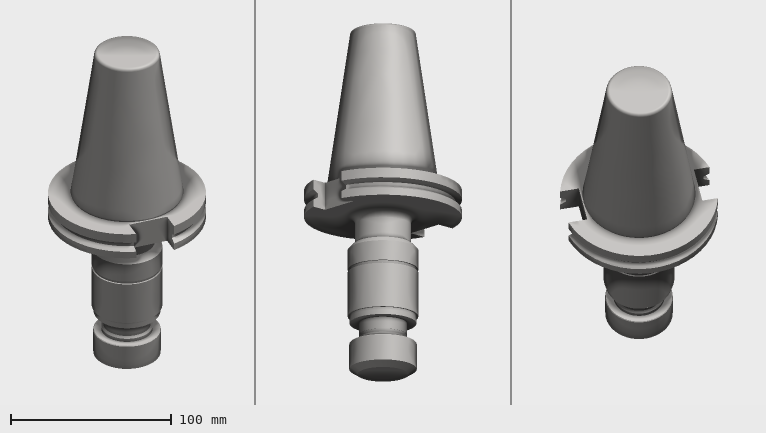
import cadquery as cq
import math

total_height = 222.2

nut_dia = 42.0
nut_bottom_dia = 31.5
nut_bottom_chamfer_height = 3.3
nut_top = 20.0
nut_top_chamfer = 0.5

collar_dia = 32.0
collar_top = 22.2
relief_dia = 29.5
relief_bottom = 23.5
relief_top = 25.3
neck_dia = 30.0
neck_top = 32.9

shoulder_dia = 41.5
shoulder_top = 37.5
body_dia = 44.0
body_groove_dia = 42.0
body_groove_bottom = 65.8
body_groove_top = 67.8
body_top = 83.8
body_chamfer = 3.3

waist_dia = 34.7
waist_fillet = 4.7

flange_dia = 98.2
flange_bottom = 101.8
flange_top = 119.3
gripper_groove_dia = 91.0
gripper_groove_bottom = 106.5
gripper_groove_top = 113.0
groove_wall_angle = 60.0
drive_slot_width = 25.3
drive_slot_floor_minus_x = 37.5
drive_slot_floor_plus_x = 35.5

undercut_dia = 69.3
taper_bottom = 120.5
taper_large_dia = 70.2
taper_small_dia = 40.5
taper_end_fillet = 2.2


def make_nut():
    radius = nut_dia / 2
    return (
        cq.Workplane("XZ")
        .lineTo(nut_bottom_dia / 2, 0)
        .lineTo(radius, nut_bottom_chamfer_height)
        .lineTo(radius, nut_top - nut_top_chamfer)
        .lineTo(radius - nut_top_chamfer, nut_top)
        .lineTo(0, nut_top)
        .close()
        .revolve(360, (0, 0), (0, 1))
    )


def make_neck():
    return (
        cq.Workplane("XZ")
        .moveTo(0, nut_top)
        .lineTo(collar_dia / 2, nut_top)
        .lineTo(collar_dia / 2, collar_top)
        .lineTo(relief_dia / 2, relief_bottom)
        .lineTo(relief_dia / 2, relief_top)
        .lineTo(neck_dia / 2, relief_top)
        .lineTo(neck_dia / 2, neck_top)
        .lineTo(0, neck_top)
        .close()
        .revolve(360, (0, 0), (0, 1))
    )


def make_body():
    radius = body_dia / 2
    groove_radius = body_groove_dia / 2
    return (
        cq.Workplane("XZ")
        .moveTo(0, neck_top)
        .lineTo(shoulder_dia / 2, neck_top)
        .lineTo(shoulder_dia / 2, shoulder_top)
        .lineTo(radius, shoulder_top)
        .lineTo(radius, body_groove_bottom)
        .lineTo(groove_radius, body_groove_bottom)
        .lineTo(groove_radius, body_groove_top)
        .lineTo(radius, body_groove_top)
        .lineTo(radius, body_top - body_chamfer)
        .lineTo(radius - body_chamfer, body_top)
        .lineTo(0, body_top)
        .close()
        .revolve(360, (0, 0), (0, 1))
    )


def make_waist():
    radius = waist_dia / 2
    arc_offset = waist_fillet * (1 - math.sqrt(0.5))
    return (
        cq.Workplane("XZ")
        .moveTo(0, body_top)
        .lineTo(radius, body_top)
        .lineTo(radius, flange_bottom - waist_fillet)
        .threePointArc(
            (radius + arc_offset, flange_bottom - arc_offset),
            (radius + waist_fillet, flange_bottom),
        )
        .lineTo(0, flange_bottom)
        .close()
        .revolve(360, (0, 0), (0, 1))
    )


def make_flange():
    radius = flange_dia / 2
    groove_radius = gripper_groove_dia / 2
    wall_height = (radius - groove_radius) / math.tan(math.radians(groove_wall_angle))
    flange = (
        cq.Workplane("XZ")
        .moveTo(0, flange_bottom)
        .lineTo(radius, flange_bottom)
        .lineTo(radius, gripper_groove_bottom)
        .lineTo(groove_radius, gripper_groove_bottom + wall_height)
        .lineTo(groove_radius, gripper_groove_top - wall_height)
        .lineTo(radius, gripper_groove_top)
        .lineTo(radius, flange_top)
        .lineTo(0, flange_top)
        .close()
        .revolve(360, (0, 0), (0, 1))
    )
    slot_length = radius
    for side, floor in ((-1, drive_slot_floor_minus_x), (1, drive_slot_floor_plus_x)):
        slot = (
            cq.Workplane("XY", origin=(0, 0, flange_bottom))
            .center(side * (floor + slot_length / 2), 0)
            .rect(slot_length, drive_slot_width)
            .extrude(flange_top - flange_bottom)
        )
        flange = flange.cut(slot)
    return flange


def make_shank():
    undercut = (
        cq.Workplane("XY", origin=(0, 0, flange_top))
        .circle(undercut_dia / 2)
        .extrude(taper_bottom - flange_top)
    )
    taper = (
        cq.Workplane("XZ")
        .moveTo(0, taper_bottom)
        .lineTo(taper_large_dia / 2, taper_bottom)
        .lineTo(taper_small_dia / 2, total_height)
        .lineTo(0, total_height)
        .close()
        .revolve(360, (0, 0), (0, 1))
        .faces(">Z")
        .edges()
        .fillet(taper_end_fillet)
    )
    return undercut.union(taper)


result = (
    make_nut()
    .union(make_neck())
    .union(make_body())
    .union(make_waist())
    .union(make_flange())
    .union(make_shank())
)